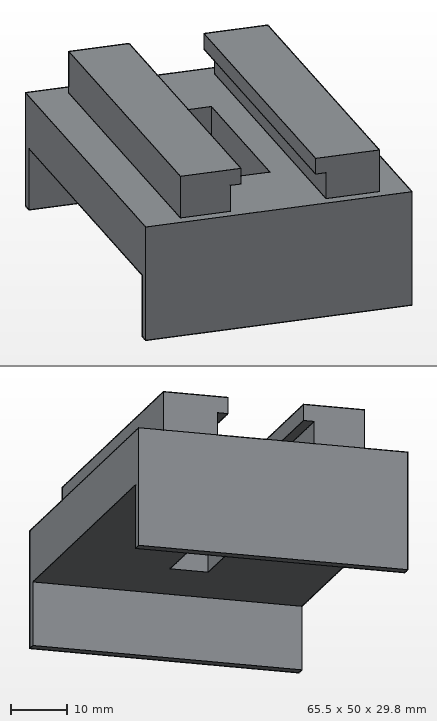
import cadquery as cq

length = 65.5
width = 50.0
height = 29.8

rail_height = 8.0
plate_thickness = 10.0
wall_thickness = 1.95
plate_top = height - rail_height
plate_bottom = plate_top - plate_thickness

rail_start = 2.7
rail_end = length - wall_thickness
lip_height = 3.0
lip_overhang = 1.95
rear_rail_width = 12.0
front_rail_width = 11.3
rear_margin = 5.45
channel_width = 14.0
rear_rail_back = width - rear_margin
channel_back = rear_rail_back - rear_rail_width
channel_front = channel_back - channel_width
front_rail_front = channel_front - front_rail_width

slot_start = 16.85
slot_length = 31.9
slot_width = 7.1
slot_front = (channel_front + channel_back - slot_width) / 2


def block(x_range, y_range, z_range):
    """Axis-aligned box between the given limits."""
    limits = (x_range, y_range, z_range)
    sizes = [high - low for low, high in limits]
    corner = tuple(low for low, high in limits)
    return cq.Workplane("XY").box(*sizes, centered=False).translate(corner)


def rail(outer_y, lip_y):
    """L-section rail from its plain outer face to the edge of its lip."""
    toward_channel = 1 if lip_y > outer_y else -1
    stem_y = lip_y - toward_channel * lip_overhang
    lip_bottom = height - lip_height
    profile = [
        (outer_y, plate_top),
        (stem_y, plate_top),
        (stem_y, lip_bottom),
        (lip_y, lip_bottom),
        (lip_y, height),
        (outer_y, height),
    ]
    section = cq.Workplane("YZ", origin=(rail_start, 0, 0)).polyline(profile).close()
    return section.extrude(rail_end - rail_start)


body = block((0, length), (0, width), (0, plate_top))
underside = block((wall_thickness, length - wall_thickness), (0, width), (0, plate_bottom))
slot = block(
    (slot_start, slot_start + slot_length),
    (slot_front, slot_front + slot_width),
    (plate_bottom, plate_top),
)
body = body.cut(underside).cut(slot)

rear_rail = rail(rear_rail_back, channel_back)
front_rail = rail(front_rail_front, channel_front)
result = body.union(rear_rail).union(front_rail)